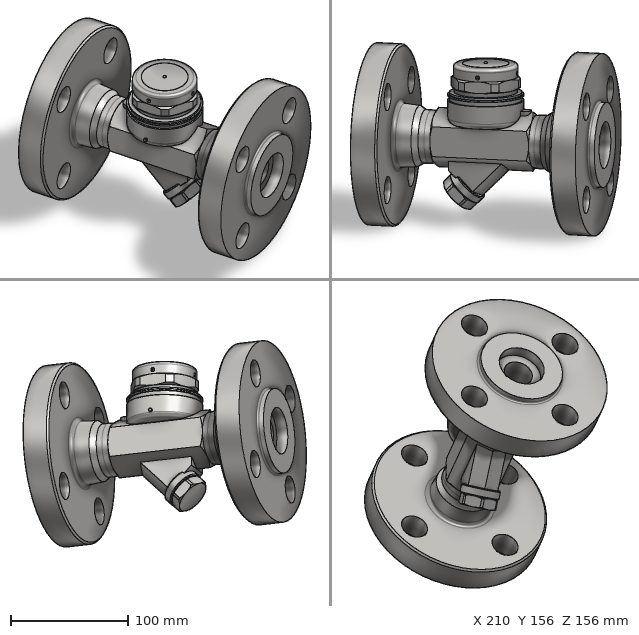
import cadquery as cq
import math

length = 210.0
half_length = length / 2

flange_diameter = 156.0
flange_thickness = 23.0
flange_chamfer = 1.7
face_diameter = 72.7
face_height = 5.9
face_root_fillet = 1.7
bolt_hole_diameter = 23.0
bolt_circle_diameter = 114.2
bolt_count = 4
bolt_hole_overrun = 2.0

hub_diameter = 54.8
hub_small_diameter = 52.5
hub_root_fillet = 3.5
hub_length = 17.0
cone_length = 5.2
pipe_diameter = 46.0
pipe_length = 5.2
pipe_end_diameter = 44.5

socket_diameter = 40.0
socket_depth = 10.0
bore_diameter = 25.0
bore_depth = 63.0

body_length = 87.0
body_flats = 44.7

bowl_diameter = 65.0
bowl_groove_diameter = 62.0
bowl_bottom = 13.9
bowl_fillet = 5.2
bowl_top = 34.2
rim_bottom = 38.0
rim_top = 39.5
bowl_lid_top = 41.2

neck_diameter = 54.0
cap_hex_bottom = 44.7
cap_hex_top = 54.8
cap_hex_flats = 55.0
cap_hex_corners = 59.8
cap_diameter = 55.5
cap_top = 66.0
cap_fillet = 3.2
disc_diameter = 40.0
disc_height = 0.2

pin_diameter = 3.0
pin_height = 1.7
bowl_pin_z = 20.8

dimple_diameter = 3.5
dimple_floor_diameter = 1.9
dimple_depth = 1.0
dimple_z = 58.4
dimple_count = 4

lug_x = -34.9
lug_width = 10.5
lug_top = 26.7

leg_offset = 17.5
leg_angle = 45.0
leg_base_x = -leg_offset * math.sin(math.radians(leg_angle))
leg_base_z = -leg_offset * math.cos(math.radians(leg_angle))
leg_corners = 30.5
leg_end = 39.3
web_x = 29.6
collar_diameter = 34.0
collar_start = 36.5
collar_end = 44.3
collar_chamfer = 0.8
plug_end = 53.8
plug_flats = 29.8
plug_corners = 33.2

bevel_angle = 30.0

hex_ratio = math.cos(math.radians(30))


def hex_corners(flats):
    """Corner-to-corner size of a regular hexagon."""
    return flats / hex_ratio


def cylinder(diameter, bottom, top):
    return cq.Workplane("XY").workplane(offset=bottom).circle(diameter / 2).extrude(top - bottom)


def bevelled_hexagon(flats, round_diameter, bottom, top):
    """Hexagonal prism along Z with its corners turned down and its ends bevelled to the flats."""
    prism = (
        cq.Workplane("XY").workplane(offset=bottom)
        .polygon(6, hex_corners(flats)).extrude(top - bottom)
    )
    bevel_width = (round_diameter - flats) / 2
    bevel_height = bevel_width * math.tan(math.radians(bevel_angle))
    blank = cylinder(round_diameter, bottom, top).faces(">Z").chamfer(bevel_height, bevel_width)
    blank = blank.faces("<Z").chamfer(bevel_height, bevel_width)
    return prism.intersect(blank)


def make_pipe_end():
    """Flange, hub and pipe neck on the -X side, turned about the X axis."""
    face_end = -half_length + face_height
    flange_end = face_end + flange_thickness
    hub_start = flange_end + hub_root_fillet
    hub_end = flange_end + hub_length
    cone_end = hub_end + cone_length
    pipe_end = cone_end + pipe_length
    body_end = -body_length / 2
    face_radius = face_diameter / 2
    flange_radius = flange_diameter / 2
    hub_radius = hub_diameter / 2
    turned = (
        cq.Workplane("XY")
        .moveTo(-half_length, 0)
        .lineTo(-half_length, face_radius)
        .lineTo(face_end - face_root_fillet, face_radius)
        .radiusArc((face_end, face_radius + face_root_fillet), -face_root_fillet)
        .lineTo(face_end, flange_radius)
        .lineTo(flange_end - flange_chamfer, flange_radius)
        .lineTo(flange_end, flange_radius - flange_chamfer)
        .lineTo(flange_end, hub_radius + hub_root_fillet)
        .radiusArc((hub_start, hub_radius), -hub_root_fillet)
        .lineTo(hub_end, hub_small_diameter / 2)
        .lineTo(cone_end, pipe_diameter / 2)
        .lineTo(pipe_end, pipe_diameter / 2)
        .tangentArcPoint((body_end, pipe_end_diameter / 2), relative=False)
        .lineTo(0, pipe_end_diameter / 2)
        .lineTo(0, 0)
        .close()
        .revolve(360, (0, 0, 0), (1, 0, 0))
    )
    bolt_holes = (
        cq.Workplane("YZ").workplane(offset=face_end - bolt_hole_overrun)
        .polarArray(bolt_circle_diameter / 2, 180 / bolt_count, 360, bolt_count)
        .circle(bolt_hole_diameter / 2)
        .extrude(flange_thickness + 2 * bolt_hole_overrun)
    )
    return turned.cut(bolt_holes)


def make_bore():
    end_plane = cq.Workplane("YZ").workplane(offset=-half_length)
    socket = end_plane.circle(socket_diameter / 2).extrude(socket_depth)
    return socket.union(end_plane.circle(bore_diameter / 2).extrude(bore_depth))


def on_both_ends(shape):
    return shape.union(shape.mirror("YZ"))


def make_body():
    """Hexagonal bar along X with corners on +Z and -Z."""
    corners = hex_corners(body_flats)
    bar = bevelled_hexagon(body_flats, corners, -body_length / 2, body_length / 2)
    return bar.rotate((0, 0, 0), (0, 1, 0), 90)


def make_bowl():
    bowl = cylinder(bowl_diameter, bowl_bottom, bowl_top).faces("<Z").edges().fillet(bowl_fillet)
    lid = cylinder(bowl_groove_diameter, bowl_top, bowl_lid_top)
    rim = cylinder(bowl_diameter, rim_bottom, rim_top)
    return bowl.union(lid).union(rim)


def make_cap():
    neck = cylinder(neck_diameter, bowl_lid_top, cap_hex_bottom)
    hexagon = bevelled_hexagon(cap_hex_flats, cap_hex_corners, cap_hex_bottom, cap_hex_top)
    crown = cylinder(cap_diameter, cap_hex_top, cap_top).faces(">Z").edges().fillet(cap_fillet)
    disc = cylinder(disc_diameter, cap_top, cap_top + disc_height)
    return neck.union(hexagon).union(crown).union(disc)


def make_pins():
    """Round-headed pin on top of the cap and a straight pin on the -Y side of the bowl."""
    bowl_reach = bowl_diameter / 2 + pin_height
    top_pin = cq.Workplane("XY").sphere(pin_diameter / 2).translate((0, 0, cap_top))
    bowl_pin = (
        cq.Workplane("XZ").center(0, bowl_pin_z)
        .circle(pin_diameter / 2).extrude(bowl_reach)
    )
    return top_pin.union(bowl_pin)


def make_cap_dimples():
    """Tapered round dimples spaced evenly about the side of the cap."""
    floor_distance = cap_diameter / 2 - dimple_depth
    drill = (
        cq.Workplane("XZ").workplane(offset=floor_distance).center(0, dimple_z)
        .circle(dimple_floor_diameter / 2)
        .workplane(offset=dimple_depth).circle(dimple_diameter / 2).loft()
    )
    dimples = cq.Workplane("XY")
    for index in range(dimple_count):
        dimples = dimples.add(drill.rotate((0, 0, 0), (0, 0, 1), index * 360 / dimple_count))
    return dimples.combine()


def make_lug():
    """Round-ended lug reaching from the bowl toward -X."""
    round_end = cq.Workplane("XY").center(lug_x, 0).circle(lug_width / 2).extrude(lug_top)
    bridge = cq.Workplane("XY").center(lug_x / 2, 0).rect(abs(lug_x), lug_width).extrude(lug_top)
    return round_end.union(bridge)


def make_leg():
    """Hexagonal strainer leg with a collar and a wrench plug, modelled along Z and then slanted."""
    bar = cq.Workplane("XY").polygon(6, leg_corners).extrude(leg_end)
    collar = cylinder(collar_diameter, collar_start, collar_end).edges().chamfer(collar_chamfer)
    plug = bevelled_hexagon(plug_flats, plug_corners, collar_end, plug_end)
    leg = bar.union(collar).union(plug)
    return leg.rotate((0, 0, 0), (0, 1, 0), 90 + leg_angle).translate((leg_base_x, 0, leg_base_z))


def make_web():
    """Flat-sided web filling the corner between the leg and the body, as wide as the leg."""
    leg_flats = leg_corners * hex_ratio
    end_x = leg_base_x + leg_end * math.cos(math.radians(leg_angle))
    end_z = leg_base_z - leg_end * math.sin(math.radians(leg_angle))
    corner_z = end_z + (web_x - end_x) / math.tan(math.radians(leg_angle))
    outline = [(leg_base_x, leg_base_z), (end_x, end_z), (web_x, corner_z), (web_x, leg_base_z)]
    return (
        cq.Workplane("XZ").polyline(outline).close()
        .extrude(leg_flats / 2, both=True)
    )


result = on_both_ends(make_pipe_end())
for make_feature in (make_body, make_bowl, make_cap, make_pins, make_lug, make_leg, make_web):
    result = result.union(make_feature())
result = result.cut(on_both_ends(make_bore())).cut(make_cap_dimples())